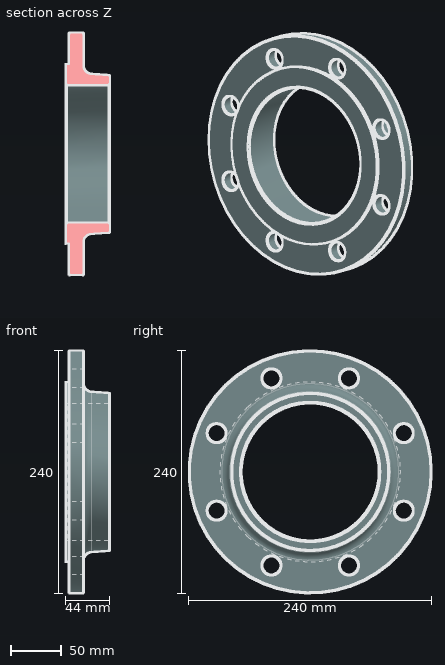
import cadquery as cq
import math


total_length = 44.0
raised_face_height = 3.0
plate_back = 18.0
plate_chamfer = 1.0

plate_diameter = 240.0
raised_face_diameter = 178.0
hub_tip_diameter = 156.2
bore_diameter = 135.47
bore_chamfer = 1.5

hub_taper_angle = 4.0
hub_fillet_radius = 8.0
hub_tip_chamfer = 1.0

bolt_count = 8
bolt_circle_diameter = 200.0
bolt_hole_diameter = 18.0
bolt_hole_chamfer = 0.8
first_bolt_angle = 180.0 / bolt_count


def make_body():
    """Revolve the outer half profile (axial position, radius) about the X axis."""
    taper = math.radians(hub_taper_angle)
    plate_radius = plate_diameter / 2
    face_radius = raised_face_diameter / 2
    tip_radius = hub_tip_diameter / 2

    fillet_centre_x = plate_back + hub_fillet_radius
    tip_to_centre = total_length - hub_tip_chamfer - fillet_centre_x
    fillet_centre_r = tip_radius + tip_to_centre * math.tan(taper) + hub_fillet_radius / math.cos(taper)

    def fillet_point(angle):
        """Point on the root fillet, angle turned from the -X direction toward the axis."""
        return (
            fillet_centre_x - hub_fillet_radius * math.cos(angle),
            fillet_centre_r - hub_fillet_radius * math.sin(angle),
        )

    hub_end_angle = math.pi / 2 - taper
    profile = (
        cq.Workplane("XY")
        .moveTo(0, 0)
        .lineTo(0, face_radius)
        .lineTo(raised_face_height, face_radius)
        .lineTo(raised_face_height, plate_radius - plate_chamfer)
        .lineTo(raised_face_height + plate_chamfer, plate_radius)
        .lineTo(plate_back - plate_chamfer, plate_radius)
        .lineTo(plate_back, plate_radius - plate_chamfer)
        .lineTo(*fillet_point(0))
        .threePointArc(fillet_point(hub_end_angle / 2), fillet_point(hub_end_angle))
        .lineTo(total_length - hub_tip_chamfer, tip_radius)
        .lineTo(total_length, tip_radius - hub_tip_chamfer)
        .lineTo(total_length, 0)
        .close()
    )
    return profile.revolve(360, (0, 0, 0), (1, 0, 0))


def cut_bore(body):
    """Through bore, chamfered at both ends."""
    bore_radius = bore_diameter / 2
    cutter = (
        cq.Workplane("XY")
        .moveTo(0, 0)
        .lineTo(0, bore_radius + bore_chamfer)
        .lineTo(bore_chamfer, bore_radius)
        .lineTo(total_length - bore_chamfer, bore_radius)
        .lineTo(total_length, bore_radius + bore_chamfer)
        .lineTo(total_length, 0)
        .close()
        .revolve(360, (0, 0, 0), (1, 0, 0))
    )
    return body.cut(cutter)


def cut_bolt_holes(body):
    """Equally spaced plate holes, chamfered at both ends and straddling the Y and Z axes."""
    hole_radius = bolt_hole_diameter / 2
    mouth_radius = hole_radius + bolt_hole_chamfer
    pitch_radius = bolt_circle_diameter / 2
    hole = (
        cq.Workplane("XY")
        .moveTo(raised_face_height, 0)
        .lineTo(raised_face_height, mouth_radius)
        .lineTo(raised_face_height + bolt_hole_chamfer, hole_radius)
        .lineTo(plate_back - bolt_hole_chamfer, hole_radius)
        .lineTo(plate_back, mouth_radius)
        .lineTo(plate_back, 0)
        .close()
        .revolve(360, (0, 0, 0), (1, 0, 0))
        .translate((0, pitch_radius, 0))
    )
    for index in range(bolt_count):
        angle = first_bolt_angle + index * 360.0 / bolt_count
        body = body.cut(hole.rotate((0, 0, 0), (1, 0, 0), angle))
    return body


result = cut_bolt_holes(cut_bore(make_body()))